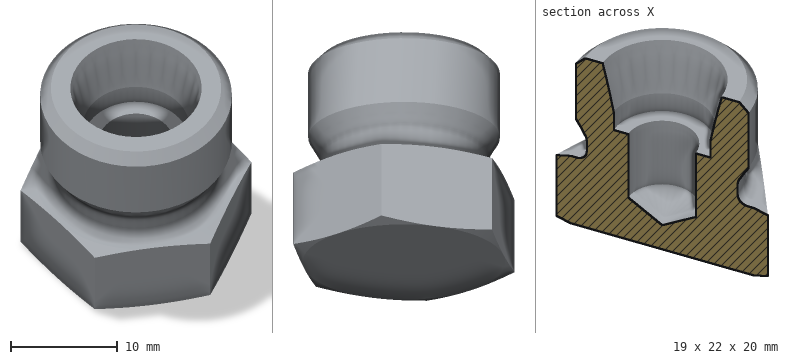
import cadquery as cq
import math

across_corners = 21.95
across_flats = across_corners * math.cos(math.radians(30))
hex_height = 8.0
hex_chamfer_angle = 15.0

total_height = 20.0
stub_diameter = 18.0
stub_chamfer = 1.0
neck_diameter = 15.7
neck_fillet = 1.0
stub_cylinder_bottom = 12.57
undercut_angle = 30.0

mouth_diameter = 12.3
socket_diameter = 10.0
seat_half_angle = 12.0
socket_depth = 7.5
hole_diameter = 7.0
hole_bottom = 5.0
drill_point_angle = 118.0


def revolve_about_z(points):
    """Revolve a closed (radius, height) outline about the Z axis."""
    outline = cq.Workplane("XZ").polyline(points).close()
    return outline.revolve(360, (0, 0, 0), (0, 1, 0))


def make_hexagon():
    """Hexagonal prism with both ends turned down to a conical chamfer."""
    prism = cq.Workplane("XY").polygon(6, across_corners).extrude(hex_height)
    prism = prism.rotate((0, 0, 0), (0, 0, 1), 30)
    flat_radius = across_flats / 2
    envelope_radius = across_corners / 2 + 0.22
    chamfer_drop = (envelope_radius - flat_radius) * math.tan(math.radians(hex_chamfer_angle))
    envelope = revolve_about_z([
        (0, 0),
        (flat_radius, 0),
        (envelope_radius, chamfer_drop),
        (envelope_radius, hex_height - chamfer_drop),
        (flat_radius, hex_height),
        (0, hex_height),
    ])
    return prism.intersect(envelope)


def make_stub():
    """Stub with a top chamfer, a conical undercut and a neck filleted at both ends."""
    stub_radius = stub_diameter / 2
    neck_radius = neck_diameter / 2
    undercut = math.radians(undercut_angle)
    undercut_bottom = stub_cylinder_bottom - (stub_radius - neck_radius) / math.tan(undercut)

    tangent_length = neck_fillet * math.tan(undercut / 2)
    arc_start = (neck_radius, undercut_bottom - tangent_length)
    arc_end = (
        neck_radius + tangent_length * math.sin(undercut),
        undercut_bottom + tangent_length * math.cos(undercut),
    )

    outline = (
        cq.Workplane("XZ")
        .moveTo(0, hex_height)
        .lineTo(neck_radius + neck_fillet, hex_height)
        .radiusArc((neck_radius, hex_height + neck_fillet), neck_fillet)
        .lineTo(*arc_start)
        .radiusArc(arc_end, neck_fillet)
        .lineTo(stub_radius, stub_cylinder_bottom)
        .lineTo(stub_radius, total_height - stub_chamfer)
        .lineTo(stub_radius - stub_chamfer, total_height)
        .lineTo(0, total_height)
        .close()
    )
    return outline.revolve(360, (0, 0, 0), (0, 1, 0))


def make_bore():
    """Solid of the material removed by the seat, the socket and the drilled hole."""
    mouth_radius = mouth_diameter / 2
    socket_radius = socket_diameter / 2
    hole_radius = hole_diameter / 2
    seat_depth = (mouth_radius - socket_radius) / math.tan(math.radians(seat_half_angle))
    point_depth = hole_radius / math.tan(math.radians(drill_point_angle / 2))
    return revolve_about_z([
        (0, total_height),
        (mouth_radius, total_height),
        (socket_radius, total_height - seat_depth),
        (socket_radius, total_height - socket_depth),
        (hole_radius, total_height - socket_depth),
        (hole_radius, hole_bottom),
        (0, hole_bottom - point_depth),
    ])


result = make_hexagon().union(make_stub()).cut(make_bore())